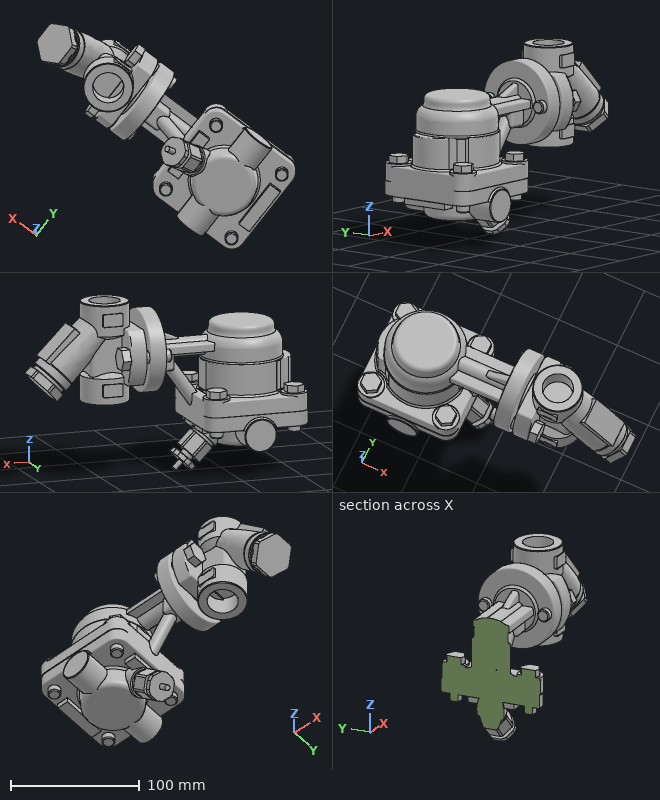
import cadquery as cq
import math


PLATE = 85.2
CORNER_R = 10.5
COVER_T = 11.8
BODY_T = 12.3
PAD_H = 1.8
PLATE_FILLET = 1.0
COVER_SHIFT_Y = 0.55
BOLT_OFFSET = PLATE / 2 - CORNER_R
BOLT_D = 10.0
BOLT_TIP_CHAMFER = 0.9
BODY_BOLT_AF = 14.2
BODY_BOLT_HEAD_H = 5.7
BODY_BOLT_END_Z = -18.0

BARREL_R = 33.3
BARREL_TOP_Z = 38.1
BARREL_FLAT_X = 32.2
LOBE_R = 27.5
LOBE_X = -11.8
NOTCH_R = 13.8
BARREL_FILLET = 0.9
FOOT_FLARE = 1.5
DOME_R = 32.2
DOME_FLARE = 1.3
DOME_SHOULDER_Z = 50.2
SHOULDER_R = 26.7
SHOULDER_TOP_Z = 58.0
SHOULDER_BULGE = (30.5, 54.8)
CAP_HOLLOW = (26.0, 59.5)
CAP_R = 25.9
CAP_BASE_Z = 61.4
DOME_TOP_Z = 67.3
CAP_FILLET = 4.0

BOWL_TOP_R = 26.3
BOWL_R = 24.8
BOWL_BOTTOM_Z = -29.5
BOWL_FILLET = 4.4
BOWL_FLARE = 1.8
PORT_R = 13.1
PORT_FACE_D = 25.0
PORT_LENGTH = 89.0
PORT_Z = BOWL_BOTTOM_Z + PORT_R
PORT_ROOT = 1.3
BLOCK_X = (29.5, 39.7)
BLOCK_WIDTH = 39.9
BLOCK_BOTTOM_Z = -16.9

FLANGE_Z = 49.0
FLANGE_D = 66.6
FLANGE_X = (73.5, 86.8)
FLANGE_FILLET = 1.0
HUB_FLARE = 2.0
HUB_D = 35.0
HUB_X = 71.5
MATE_X = (89.6, 103.2)
MATE_D = 67.0
MATE_H = 44.3
MATE_BACK_T = 2.5
MATE_CORNER_R = 2.0
FLANGE_BOLT_Y = 25.6
FLANGE_BOLT_AF = 16.2
FLANGE_BOLT_HEAD_H = 6.8
FLANGE_BOLT_END_X = 68.1

ARM_D = 15.5
WING_WIDTH = 31.5
WING_T = 6.5
WING_FILLET = 1.8
WING_Z = 50.2
RIB_T = 6.5
RIB_START_X = 52.5
RIB_TOP_Z = 64.9
RIB_FILLET = 2.2
ELBOW_X = 57.8
ELBOW_Z = (31.8, 47.1)
ELBOW_WIDTH = 17.5
ELBOW_FILLET = 2.6
PIPE_D = 11.0
PIPE_FOOT = (38.3, 4.8)
PIPE_HEAD = (62.7, 39.0)

VALVE_X = 113.0
VALVE_D = 39.0
VALVE_Z = (11.2, 91.0)
COLLAR_H = 24.8
WAIST_WIDTH = 25.5
WAIST_REACH = 15.3
WAIST_RAMP = 3.5
WAIST_CORNER_R = 4.4
BORE_D = 24.0
BORE_DEPTH = 17.5
VALVE_CHAMFER = 0.7
LABEL_W = 16.2
LABEL_H = 10.3
LABEL_Y = 20.0
LABEL_CORNER_R = 1.3
LABEL_FROM_END = 11.8

CAP_END = (165.7, 25.6)
CAP_AF = 30.7
CAP_CORNER_D = 34.2
CAP_H = 7.2
BRANCH_SECTIONS = (
    (63.5, 15.3, 13.5),
    (39.5, 16.9, 15.0),
    (18.0, 16.7, 16.0),
)
COLLAR_R = 16.5
COLLAR_START = 18.0
COLLAR_END = 10.0
COLLAR_CHAMFER = 0.7
NECK_D = 29.4
BRANCH_FLAT_W = 22.0
BRANCH_FLAT_DIST = 16.5
BRANCH_FLAT_RANGE = (16.7, 50.8)

BLOW_SEAT = (33.3, -25.5)
BLOW_BOSS_D = 24.0
BLOW_BOSS_LENGTH = 24.0
BLOW_BOSS_END = 2.6
BLOW_RING_D = 21.0
BLOW_HEX_AF = 21.3
BLOW_HEX_CORNER_D = 23.5
BLOW_HEX_H = 15.3
BLOW_NECK_D = 10.5
BLOW_NUT_AF = 22.4
BLOW_NUT_CORNER_D = 23.5
BLOW_NUT_RANGE = (19.3, 23.7)
BLOW_STEM_D = 4.5
BLOW_STEM_END = 31.8


def slanted_plane(point):
    """Plane across an axis running 45 degrees down toward +X; local x is +Y."""
    return cq.Plane(origin=(point[0], 0, point[1]), xDir=(0, 1, 0), normal=(1, 0, -1))


def hexagon(plane, across_flats, height, start=0.0):
    """Hexagonal prism with two corners on the local x axis."""
    across_corners = across_flats / math.cos(math.pi / 6)
    return cq.Workplane(plane).workplane(offset=start).polygon(6, across_corners).extrude(height)


def cylinder(plane, diameter, start, end):
    return cq.Workplane(plane).workplane(offset=start).circle(diameter / 2).extrude(end - start)


def box(x_range, y_range, z_range):
    size = [high - low for low, high in (x_range, y_range, z_range)]
    corner = (x_range[0], y_range[0], z_range[0])
    return cq.Workplane("XY").box(*size, centered=False).translate(corner)


def square_plate(bottom, top):
    plate = cq.Workplane("XY").workplane(offset=bottom).rect(PLATE, PLATE).extrude(top - bottom)
    return plate.edges("|Z").fillet(CORNER_R)


def body_bolts():
    bolts = cq.Workplane("XY")
    head_z = BODY_T + PAD_H
    for x in (-BOLT_OFFSET, BOLT_OFFSET):
        for y in (-BOLT_OFFSET, BOLT_OFFSET):
            plane = cq.Plane(origin=(x, y, 0), xDir=(0, 1, 0), normal=(0, 0, 1))
            shank = cylinder(plane, BOLT_D, BODY_BOLT_END_Z, BODY_T).faces("<Z").chamfer(BOLT_TIP_CHAMFER)
            pad = cylinder(plane, 2 * CORNER_R, 0, head_z)
            head = hexagon(plane, BODY_BOLT_AF, BODY_BOLT_HEAD_H, head_z)
            bolts = bolts.union(shank).union(pad).union(head)
    return bolts


def barrel_tier(top, growth, rim_chamfer=0.0):
    """Drum plus -X bulge, enlarged by growth, from inside the upper plate up to top."""
    start = BODY_T / 2
    tier = cq.Workplane("XY")
    for center_x, radius in ((0, BARREL_R + growth), (LOBE_X, LOBE_R + growth)):
        plane = cq.Plane(origin=(center_x, 0, 0))
        disc = cylinder(plane, 2 * radius, start, top)
        if rim_chamfer:
            disc = disc.faces(">Z").edges().chamfer(rim_chamfer)
        tier = tier.union(disc)
    flat_x = BARREL_FLAT_X + growth
    tier = tier.intersect(box((-PLATE, flat_x), (-PLATE, PLATE), (0, top)))
    for y in (-BOLT_OFFSET, BOLT_OFFSET):
        tier = tier.cut(cylinder(cq.Plane(origin=(-BOLT_OFFSET, y, 0)), 2 * (NOTCH_R - growth), 0, top))
    return tier


def barrel():
    drum = barrel_tier(BARREL_TOP_Z, 0).faces(">Z").edges().fillet(BARREL_FILLET)
    foot = barrel_tier(BODY_T + FOOT_FLARE, FOOT_FLARE, FOOT_FLARE)
    return drum.union(foot)


def dome():
    profile = (
        cq.Workplane("XZ")
        .moveTo(0, BODY_T)
        .lineTo(DOME_R, BODY_T)
        .lineTo(DOME_R, BARREL_TOP_Z - DOME_FLARE)
        .lineTo(DOME_R + DOME_FLARE / 2, BARREL_TOP_Z)
        .lineTo(DOME_R, BARREL_TOP_Z + DOME_FLARE)
        .lineTo(DOME_R, DOME_SHOULDER_Z)
        .threePointArc(SHOULDER_BULGE, (SHOULDER_R, SHOULDER_TOP_Z))
        .threePointArc(CAP_HOLLOW, (CAP_R, CAP_BASE_Z))
        .lineTo(CAP_R, DOME_TOP_Z)
        .lineTo(0, DOME_TOP_Z)
        .close()
    )
    return profile.revolve(360, (0, 0, 0), (0, 1, 0)).faces(">Z").edges().fillet(CAP_FILLET)


def cover():
    plate = square_plate(-COVER_T, 0).faces("<Z").edges().fillet(PLATE_FILLET)
    bowl = (
        cq.Workplane("XZ")
        .lineTo(BOWL_TOP_R, 0)
        .lineTo(BOWL_TOP_R + BOWL_FLARE, -COVER_T)
        .lineTo(BOWL_TOP_R, -COVER_T - BOWL_FLARE)
        .lineTo(BOWL_R, BOWL_BOTTOM_Z)
        .lineTo(0, BOWL_BOTTOM_Z)
        .close()
        .revolve(360, (0, 0, 0), (0, 1, 0))
        .faces("<Z").edges().fillet(BOWL_FILLET)
    )
    block = box(BLOCK_X, (-BLOCK_WIDTH / 2, BLOCK_WIDTH / 2), (BLOCK_BOTTOM_Z, -COVER_T / 2))
    blocks = block.union(block.mirror("YZ"))
    port_plane = cq.Plane(origin=(0, 0, PORT_Z), xDir=(1, 0, 0), normal=(0, -1, 0))
    ports = cylinder(port_plane, 2 * PORT_R, -PORT_LENGTH / 2, PORT_LENGTH / 2)
    ports = ports.faces("<Y or >Y").edges().chamfer(PORT_R - PORT_FACE_D / 2)
    collar_reach = PLATE / 2 + PORT_ROOT
    collars = cylinder(port_plane, 2 * (PORT_R + PORT_ROOT), -collar_reach, collar_reach)
    collars = collars.faces("<Y or >Y").edges().chamfer(PORT_ROOT - 0.02)
    collars = collars.intersect(box((-PLATE, PLATE), (-PLATE, PLATE), (-COVER_T, 0)))
    return plate.union(bowl).union(blocks).union(ports).union(collars)


def blowdown_valve():
    plane = slanted_plane(BLOW_SEAT)
    boss = cylinder(plane, BLOW_BOSS_D, -BLOW_BOSS_LENGTH, -BLOW_BOSS_END)
    ring = cylinder(plane, BLOW_RING_D, -BLOW_BOSS_END, 0)
    body = hexagon(plane, BLOW_HEX_AF, BLOW_HEX_H)
    body = body.intersect(cylinder(plane, BLOW_HEX_CORNER_D, 0, BLOW_HEX_H))
    neck = cylinder(plane, BLOW_NECK_D, BLOW_HEX_H, BLOW_NUT_RANGE[1])
    nut = hexagon(plane, BLOW_NUT_AF, BLOW_NUT_RANGE[1] - BLOW_NUT_RANGE[0], BLOW_NUT_RANGE[0])
    nut = nut.intersect(cylinder(plane, BLOW_NUT_CORNER_D, *BLOW_NUT_RANGE))
    stem = cylinder(plane, BLOW_STEM_D, BLOW_NUT_RANGE[1], BLOW_STEM_END)
    return boss.union(ring).union(body).union(neck).union(nut).union(stem)


def arm():
    plane = cq.Plane(origin=(0, 0, FLANGE_Z), xDir=(0, 1, 0), normal=(1, 0, 0))
    tube = cylinder(plane, ARM_D, 0, HUB_X)
    wings = box(
        (DOME_R / 2, HUB_X),
        (-WING_WIDTH / 2, WING_WIDTH / 2),
        (WING_Z - WING_T / 2, WING_Z + WING_T / 2),
    ).faces(">Z").edges("|X").fillet(WING_FILLET)
    rib = (
        cq.Workplane("XZ", origin=(0, RIB_T / 2, 0))
        .moveTo(RIB_START_X, FLANGE_Z)
        .lineTo(RIB_START_X, FLANGE_Z + ARM_D / 2)
        .lineTo(HUB_X, RIB_TOP_Z)
        .lineTo(HUB_X, FLANGE_Z)
        .close()
        .extrude(RIB_T)
    )
    slope = cq.Vector(FLANGE_Z + ARM_D / 2 - RIB_TOP_Z, 0, HUB_X - RIB_START_X)
    rib = rib.faces(cq.selectors.DirectionMinMaxSelector(slope, True)).edges("not |Y").fillet(RIB_FILLET)
    elbow = box((ELBOW_X, HUB_X), (-ELBOW_WIDTH / 2, ELBOW_WIDTH / 2), ELBOW_Z)
    elbow = elbow.edges("<X or (<Z and |X)").fillet(ELBOW_FILLET)
    run = PIPE_HEAD[0] - PIPE_FOOT[0]
    rise = PIPE_HEAD[1] - PIPE_FOOT[1]
    pipe_plane = cq.Plane(origin=(PIPE_FOOT[0], 0, PIPE_FOOT[1]), xDir=(0, 1, 0), normal=(run, 0, rise))
    pipe = cylinder(pipe_plane, PIPE_D, 0, math.hypot(run, rise))
    return tube.union(wings).union(rib).union(elbow).union(pipe)


def flanges():
    plane = cq.Plane(origin=(0, 0, FLANGE_Z), xDir=(0, 1, 0), normal=(1, 0, 0))
    disc = cylinder(plane, FLANGE_D, *FLANGE_X).edges().fillet(FLANGE_FILLET)
    hub = cylinder(plane, HUB_D, HUB_X, MATE_X[1])
    flare_d = HUB_D + 2 * HUB_FLARE
    flare = cylinder(plane, flare_d, FLANGE_X[0] - HUB_FLARE, FLANGE_X[1])
    hub = hub.union(flare.faces("<X").edges().chamfer(0.99 * HUB_FLARE))
    mate_z = (FLANGE_Z - MATE_H / 2, FLANGE_Z + MATE_H / 2)
    mate = cylinder(plane, MATE_D, *MATE_X)
    mate = mate.intersect(box(MATE_X, (-MATE_D, MATE_D), mate_z))
    mate = mate.edges("|X").fillet(MATE_CORNER_R)
    mate = mate.faces("<X or >X").edges().fillet(FLANGE_FILLET)
    back = box((MATE_X[0] + 2.2, MATE_X[1] + MATE_BACK_T), (-WAIST_WIDTH / 2, WAIST_WIDTH / 2), mate_z)
    solid = disc.union(hub).union(mate).union(back)
    for y in (-FLANGE_BOLT_Y, FLANGE_BOLT_Y):
        bolt_plane = cq.Plane(origin=(0, y, FLANGE_Z), xDir=(0, 1, 0), normal=(1, 0, 0))
        shank = cylinder(bolt_plane, BOLT_D, FLANGE_BOLT_END_X, MATE_X[1])
        shank = shank.faces("<X").chamfer(BOLT_TIP_CHAMFER)
        head = hexagon(bolt_plane, FLANGE_BOLT_AF, FLANGE_BOLT_HEAD_H, MATE_X[1])
        solid = solid.union(shank).union(head)
    return solid


def valve():
    bottom, top = VALVE_Z
    radius = VALVE_D / 2
    waist_r = WAIST_WIDTH / 2
    profile = (
        cq.Workplane("XZ", origin=(VALVE_X, 0, 0))
        .moveTo(0, bottom)
        .lineTo(radius, bottom)
        .lineTo(radius, bottom + COLLAR_H - WAIST_RAMP)
        .lineTo(waist_r, bottom + COLLAR_H)
        .lineTo(waist_r, top - COLLAR_H - WAIST_RAMP)
        .lineTo(radius, top - COLLAR_H)
        .lineTo(radius, top)
        .lineTo(0, top)
        .close()
    )
    solid = profile.revolve(360, (0, 0, 0), (0, 1, 0)).faces("<Z or >Z").edges().chamfer(VALVE_CHAMFER)
    waist = box(
        (MATE_X[1], VALVE_X + WAIST_REACH),
        (-waist_r, waist_r),
        (bottom + COLLAR_H - WAIST_RAMP, top - COLLAR_H),
    )
    solid = solid.union(waist.edges(">X and |Z").fillet(WAIST_CORNER_R))
    for z in (bottom + LABEL_FROM_END, top - LABEL_FROM_END):
        label = box(
            (VALVE_X - LABEL_W / 2, VALVE_X + LABEL_W / 2),
            (-LABEL_Y, LABEL_Y),
            (z - LABEL_H / 2, z + LABEL_H / 2),
        )
        solid = solid.union(label.edges("|Y").fillet(LABEL_CORNER_R))
    return solid


def strainer_branch():
    plane = slanted_plane(CAP_END)
    branch = cq.Workplane(plane)
    reached = 0
    for distance, half_width, half_height in BRANCH_SECTIONS:
        branch = branch.workplane(offset=reached - distance).ellipse(half_width, half_height)
        reached = distance
    branch = branch.loft()
    collar = cylinder(plane, 2 * COLLAR_R, -COLLAR_START, -COLLAR_END).edges().chamfer(COLLAR_CHAMFER)
    neck = cylinder(plane, NECK_D, -COLLAR_END, -CAP_H)
    cap = hexagon(plane, CAP_AF, CAP_H, -CAP_H).intersect(cylinder(plane, CAP_CORNER_D, -CAP_H, 0))
    near, far = BRANCH_FLAT_RANGE
    flat = (
        cq.Workplane(plane)
        .workplane(offset=-far)
        .center(0, BRANCH_FLAT_DIST / 2)
        .rect(BRANCH_FLAT_W, BRANCH_FLAT_DIST)
        .extrude(far - near)
    )
    return branch.union(collar).union(neck).union(cap).union(flat)


def connector():
    solid = valve().union(strainer_branch())
    plane = cq.Plane(origin=(VALVE_X, 0, 0), xDir=(1, 0, 0), normal=(0, 0, 1))
    bottom, top = VALVE_Z
    solid = solid.cut(cylinder(plane, BORE_D, top - BORE_DEPTH, top))
    return solid.cut(cylinder(plane, BORE_D, bottom, bottom + BORE_DEPTH))


body = square_plate(0, BODY_T).faces(">Z").edges().fillet(PLATE_FILLET)
trap = body.union(body_bolts()).union(barrel()).union(dome()).union(arm())
lower = cover().union(blowdown_valve()).translate((0, COVER_SHIFT_Y, 0))
result = trap.union(lower).union(flanges()).union(connector()).clean()